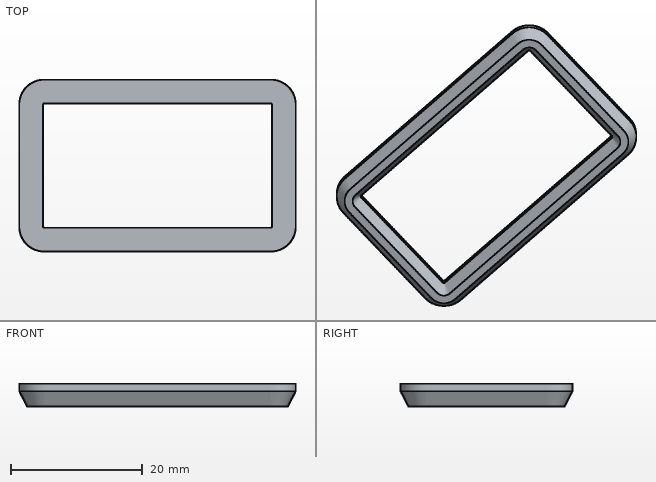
import cadquery as cq

length = 42.1
width = 26.2
height = 3.5
corner_radius = 3.85

bar_width = 3.65
band_height = 1.15
foot_height = height - band_height
foot_inset = 1.2


def rounded_loop(inset, z):
    """Rounded rectangle lying inside the outer edge by the given inset."""
    return (
        cq.Sketch()
        .rect(length - 2 * inset, width - 2 * inset)
        .vertices()
        .fillet(corner_radius - inset)
        .moved(cq.Location(cq.Vector(0, 0, z)))
    )


def rounded_slab(inset, z, thickness):
    """Straight-sided slab with its base at z."""
    return cq.Workplane("XY").placeSketch(rounded_loop(inset, z)).extrude(thickness)


def tapered_slab(bottom_inset, top_inset):
    """Slab of the foot's height whose sides slope between two insets."""
    return (
        cq.Workplane("XY")
        .placeSketch(rounded_loop(bottom_inset, 0), rounded_loop(top_inset, foot_height))
        .loft()
    )


outer_body = tapered_slab(foot_inset, 0).union(rounded_slab(0, foot_height, band_height))
opening = tapered_slab(bar_width - foot_inset, bar_width).union(
    rounded_slab(bar_width, foot_height, band_height)
)

result = outer_body.cut(opening)